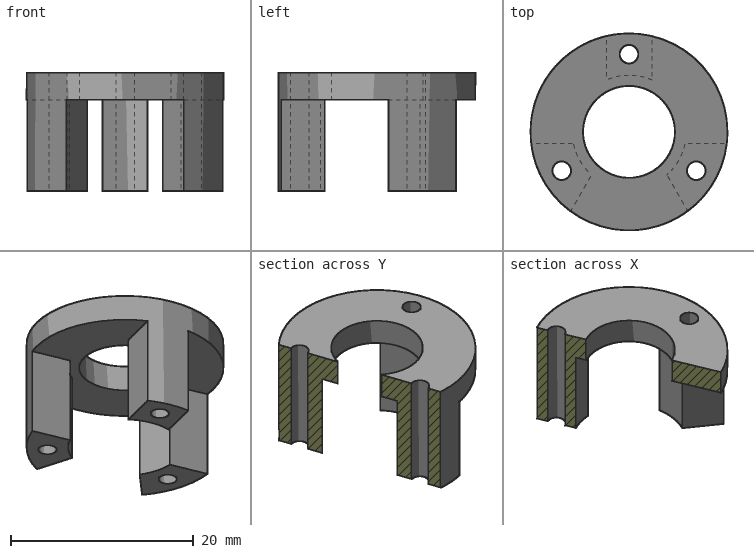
import cadquery as cq
import math

outer_diameter = 21.6
total_height = 13.0
flange_thickness = 3.0
bore_diameter = 10.05
leg_height = total_height - flange_thickness

hole_diameter = 2.0
hole_circle_radius = 8.5
hole_angles = (90, 210, 330)

leg_inner_diameter = 12.48
narrow_leg_width = 4.97
wedge_angle = 60
wedge_side_inset = 1.23
wedge_leg_angles = (210, 330)


def disk(diameter, height):
    return cq.Workplane("XY").circle(diameter / 2).extrude(height)


def wedge(center_angle):
    """Wedge-shaped prism pointing outward along center_angle."""
    half_angle = math.radians(wedge_angle / 2)
    apex = wedge_side_inset / math.sin(half_angle)
    reach = outer_diameter
    half_width = (reach - apex) * math.tan(half_angle)
    return (
        cq.Workplane("XY")
        .polyline([(apex, 0), (reach, -half_width), (reach, half_width)])
        .close()
        .extrude(leg_height)
        .rotate((0, 0, 0), (0, 0, 1), center_angle)
    )


def narrow_block():
    """Parallel-sided prism running from the axis out along +Y."""
    return cq.Workplane("XY").box(
        narrow_leg_width, outer_diameter, leg_height, centered=(True, False, False)
    )


leg_ring = disk(outer_diameter, leg_height).cut(disk(leg_inner_diameter, leg_height))
flange = disk(outer_diameter, flange_thickness).translate((0, 0, leg_height))

body = flange.union(leg_ring.intersect(narrow_block()))
for angle in wedge_leg_angles:
    body = body.union(leg_ring.intersect(wedge(angle)))

body = body.cut(disk(bore_diameter, total_height))

for angle in hole_angles:
    hole_x = hole_circle_radius * math.cos(math.radians(angle))
    hole_y = hole_circle_radius * math.sin(math.radians(angle))
    body = body.cut(disk(hole_diameter, total_height).translate((hole_x, hole_y, 0)))

result = body